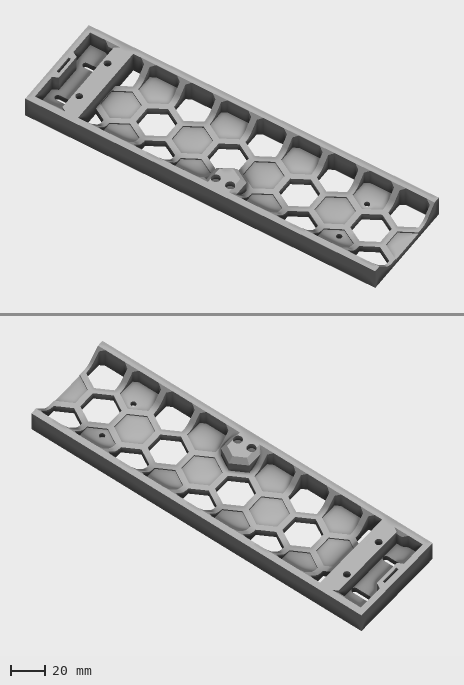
import cadquery as cq
import math

LENGTH = 245.0
WIDTH = 68.0
HEIGHT = 15.0
SIDE_WALL = 4.5
END_WALL = 4.0
X_MIN = -LENGTH / 2
INNER_HALF = WIDTH / 2 - SIDE_WALL

GRID_TOP = 5.0
FLAT_HALF = 15.7
SLOPE_ANGLE = 45.0

CELL_PITCH = 25.0
CELL_FLATS = 21.0
ROW_PITCH = CELL_PITCH * math.sqrt(3) / 2
CELL_FLOOR = 4.0
FIRST_CELL_X = X_MIN + 44.8
CELLS_PER_ROW = 9

BAR_END = X_MIN + 34.0
BAY_FLOOR = 4.0
POST_DEPTH = 2.0
POST_FACE_Y = INNER_HALF - POST_DEPTH
POST_X = FIRST_CELL_X - CELL_PITCH
POST_TIP_HALF = (CELL_PITCH - CELL_FLATS) / 2
BAR_START = POST_X + POST_TIP_HALF
POST_BASE_HALF = POST_TIP_HALF + POST_DEPTH * math.sqrt(3)

TAB_DEPTH = 3.7
TAB_TIP_HALF = 9.5
TAB_BASE_HALF = 11.5
TAB_POCKET_WIDTH = 1.7
TAB_POCKET_LENGTH = 13.0
TAB_POCKET_DEPTH = 5.0

BAR_HOLE_X = X_MIN + 25.5
BAR_HOLE_Y = 15.2
BAR_HOLE_DIAMETER = 4.7
SLOT_START = X_MIN + 8.3
SLOT_END = BAR_START
SLOT_WIDTH = 4.0
SLOT_Y = 15.0
FLOOR_HOLE_DIAMETER = 3.7
FLOOR_HOLE_Y = 15.0
FLOOR_HOLE_CELL = 7

BOSS_CELL = 4
BOSS_CHAMFER = 3.2
BOSS_CHAMFER_TAPER = 45.0
BOSS_HOLE_DIAMETER = 6.0
BOSS_HOLE_SPACING = 10.0
BOSS_HOLE_Y = -24.7
BOSS_HOLE_DEPTH = 4.0


def box(x_start, x_end, half_width, z_start, z_end):
    """Block symmetric about the XZ plane."""
    size = (x_end - x_start, 2 * half_width, z_end - z_start)
    return cq.Workplane("XY").box(*size, centered=(False, True, False)).translate((x_start, 0, z_start))


def cylinder(x, y, diameter, z_start, z_end):
    disc = cq.Workplane("XY", origin=(x, y, z_start)).circle(diameter / 2)
    return disc.extrude(z_end - z_start)


def hexagon(x, y, z, flats):
    """Hexagon outline with two corners on the Y direction."""
    corner_circle = 2 * flats / math.sqrt(3)
    plane = cq.Plane(origin=(x, y, z), xDir=(0, 1, 0), normal=(0, 0, 1))
    return cq.Workplane(plane).polygon(6, corner_circle)


def outer_cell_x(index):
    return FIRST_CELL_X + (index - 0.5) * CELL_PITCH


def cradle():
    """Trough along X, from the end wall out through the +X end."""
    angle = math.radians(SLOPE_ANGLE)
    run = INNER_HALF - FLAT_HALF
    rise = HEIGHT - GRID_TOP
    radius = (run * math.tan(angle) - rise) / (math.tan(angle / 2) * math.tan(angle))
    arc_y = FLAT_HALF + radius * math.sin(angle)
    arc_z = GRID_TOP + radius * (1 - math.cos(angle))
    mid_y = FLAT_HALF + radius * math.sin(angle / 2)
    mid_z = GRID_TOP + radius * (1 - math.cos(angle / 2))
    profile = (
        cq.Workplane("YZ", origin=(X_MIN + END_WALL, 0, 0))
        .moveTo(-FLAT_HALF, GRID_TOP)
        .lineTo(FLAT_HALF, GRID_TOP)
        .threePointArc((mid_y, mid_z), (arc_y, arc_z))
        .lineTo(INNER_HALF, HEIGHT)
        .lineTo(-INNER_HALF, HEIGHT)
        .lineTo(-arc_y, arc_z)
        .threePointArc((-mid_y, mid_z), (-FLAT_HALF, GRID_TOP))
        .close()
    )
    return profile.extrude(LENGTH - END_WALL)


def cell(x, y, is_open):
    bottom = 0 if is_open else CELL_FLOOR
    return hexagon(x, y, bottom, CELL_FLATS).extrude(HEIGHT - bottom)


def honeycomb():
    """Cells alternate between floored and open, clipped by the bar and the side walls."""
    cells = cq.Workplane("XY")
    for index in range(CELLS_PER_ROW):
        cells = cells.add(cell(FIRST_CELL_X + index * CELL_PITCH, 0, index % 2 == 1))
    for index in range(CELLS_PER_ROW):
        for side in (-1, 1):
            if side < 0 and index == BOSS_CELL:
                continue
            cells = cells.add(cell(outer_cell_x(index), side * ROW_PITCH, index % 2 == 0))
    room = box(BAR_END, LENGTH / 2, INNER_HALF, 0, HEIGHT)
    return cells.combine().intersect(room)


def mirrored_outline(half):
    """Closed outline from its +Y half, reflected in the XZ plane."""
    return half + [(x, -y) for x, y in reversed(half)]


def bay():
    """Pocket between end wall and bar, with a post left standing on each side wall."""
    half = [
        (X_MIN + END_WALL, INNER_HALF),
        (POST_X - POST_BASE_HALF, INNER_HALF),
        (POST_X - POST_TIP_HALF, POST_FACE_Y),
        (BAR_START, POST_FACE_Y),
    ]
    outline = cq.Workplane("XY", origin=(0, 0, BAY_FLOOR)).polyline(mirrored_outline(half)).close()
    return outline.extrude(HEIGHT - BAY_FLOOR)


def bar():
    """Full-height cross bar; its corners leave the sloping post tops exposed."""
    half = [
        (BAR_START, POST_FACE_Y),
        (POST_X + POST_BASE_HALF, INNER_HALF),
        (BAR_END, INNER_HALF),
    ]
    return cq.Workplane("XY").polyline(mirrored_outline(half)).close().extrude(HEIGHT)


def tab():
    wall_x = X_MIN + END_WALL
    tip_x = wall_x + TAB_DEPTH
    outline = [
        (wall_x, -TAB_BASE_HALF),
        (tip_x, -TAB_TIP_HALF),
        (tip_x, TAB_TIP_HALF),
        (wall_x, TAB_BASE_HALF),
    ]
    body = cq.Workplane("XY").polyline(outline).close().extrude(HEIGHT)
    pocket_end = wall_x + TAB_POCKET_WIDTH
    pocket = box(wall_x, pocket_end, TAB_POCKET_LENGTH / 2, HEIGHT - TAB_POCKET_DEPTH, HEIGHT)
    return body.cut(pocket)


def boss():
    """Full-height cell filling with a pointed inner end, chamfered up to the top face."""
    x = outer_cell_x(BOSS_CELL)
    half_flats = CELL_FLATS / 2
    corner_y = half_flats / math.sqrt(3) - ROW_PITCH
    tip_y = 2 * half_flats / math.sqrt(3) - ROW_PITCH
    rear_y = -WIDTH
    outline = [
        (x - half_flats, rear_y),
        (x + half_flats, rear_y),
        (x + half_flats, corner_y),
        (x, tip_y),
        (x - half_flats, corner_y),
    ]
    shoulder = HEIGHT - BOSS_CHAMFER
    lower = cq.Workplane("XY").polyline(outline).close().extrude(shoulder)
    upper = cq.Workplane("XY", origin=(0, 0, shoulder)).polyline(outline).close()
    body = lower.union(upper.extrude(BOSS_CHAMFER, taper=BOSS_CHAMFER_TAPER))
    return body.intersect(box(X_MIN, LENGTH / 2, INNER_HALF, 0, HEIGHT))


def holes():
    cuts = cq.Workplane("XY")
    for side in (-1, 1):
        cuts = cuts.add(cylinder(BAR_HOLE_X, side * BAR_HOLE_Y, BAR_HOLE_DIAMETER, 0, HEIGHT))
        floor_hole_x = outer_cell_x(FLOOR_HOLE_CELL)
        cuts = cuts.add(cylinder(floor_hole_x, side * FLOOR_HOLE_Y, FLOOR_HOLE_DIAMETER, 0, HEIGHT))
        slot_centre = ((SLOT_START + SLOT_END) / 2, side * SLOT_Y)
        slot = cq.Workplane("XY").center(*slot_centre).slot2D(SLOT_END - SLOT_START, SLOT_WIDTH)
        cuts = cuts.add(slot.extrude(HEIGHT))
        boss_hole_x = outer_cell_x(BOSS_CELL) + side * BOSS_HOLE_SPACING / 2
        bottom = HEIGHT - BOSS_HOLE_DEPTH
        cuts = cuts.add(cylinder(boss_hole_x, BOSS_HOLE_Y, BOSS_HOLE_DIAMETER, bottom, HEIGHT))
    return cuts.combine()


block = box(X_MIN, LENGTH / 2, WIDTH / 2, 0, HEIGHT)
frame = block.cut(cradle()).cut(bay()).cut(honeycomb())
result = frame.union(bar()).union(tab()).union(boss()).cut(holes())